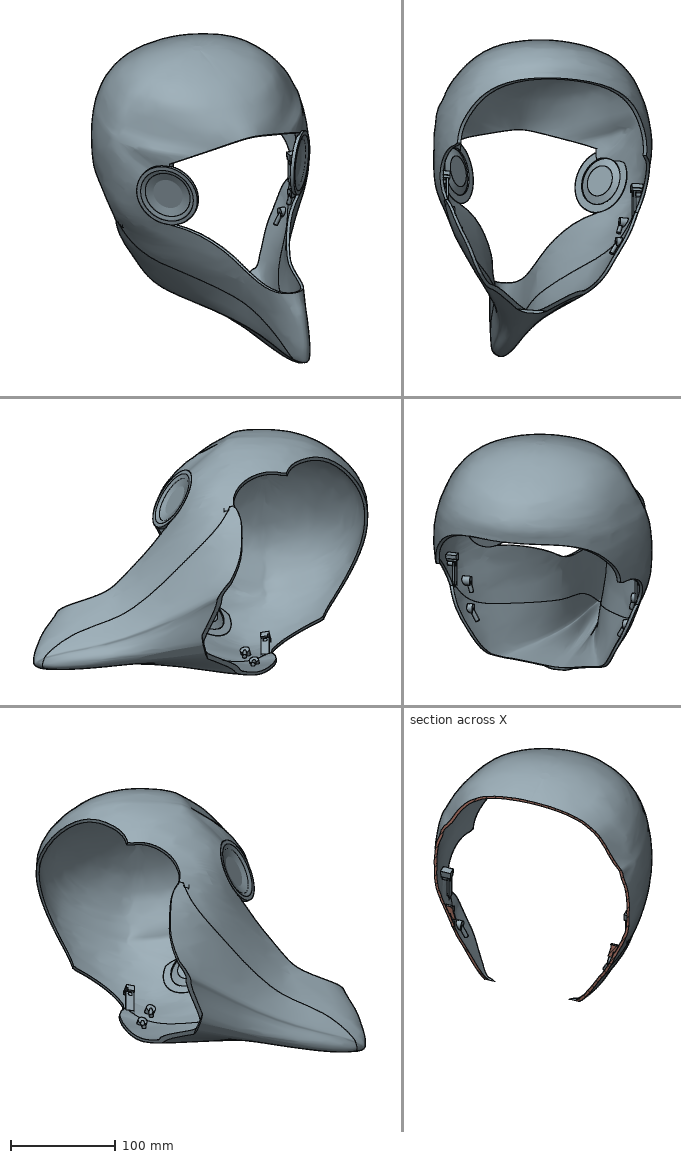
import cadquery as cq
import math


TOTAL_HEIGHT = 250.8
WALL = 3.0
SIDE_REACH = 150.0
FAR_FRONT = 400.0
FAR_BACK = -60.0
FAR_BELOW = -40.0
FRONT_POINTS = 5
REAR_ANGLES = (30, 60, 90)

EYE_X, EYE_Y, EYE_Z = 175.5, 72.9, 144.3
EYE_ANGLE = 41.8
SOCKET_DIAMETER = 62.0
SOCKET_THICKNESS = 3.5
SEAT_DIAMETER = 54.0
SEAT_DEPTH = 2.0
SIGHT_DIAMETER = 46.0
LENS_FLAT_DIAMETER = 30.0
LENS_THICKNESS = 1.5
DISH_DEPTH = 3.5
DISH_DIAMETER = 52.0
TRIM_REACH = 12.0

PIN_DIAMETER = 4.0
HINGE_X, HINGE_Z = 117.0, 112.5
HINGE_LENGTH = 8.0
LUG_INNER_Y, LUG_OUTER_Y = 90.6, 92.5
LUG_BOTTOM, LUG_TOP = 89.0, 115.5
PIN_OUTER_Y = 98.5
BRACKET_INNER_Y, BRACKET_OUTER_Y = 89.0, 99.5
BRACKET_BOTTOM, BRACKET_STEP, BRACKET_TOP = 116.0, 118.5, 122.5
LIP_SETBACK = 1.5
PAD_DIAMETER = 9.0
PAD_COVER = 2.0
HELMET_HOOK = (135.0, (83.0, 90.0), (80.0, 79.0), 89.0)
JAW_HOOK = (125.0, (77.5, 66.0), (71.0, 54.0), 81.0)



def rounded_front(widest_x, half_width, tip_x, fullness):
    """Front outline from the widest point to the tip: fullness 2 is an ellipse, less is more pointed."""
    points = []
    for step in range(1, FRONT_POINTS + 1):
        angle = math.radians(90 * step / (FRONT_POINTS + 1))
        along = math.sin(angle) ** (2 / fullness)
        across = math.cos(angle) ** (2 / fullness)
        points.append((widest_x + (tip_x - widest_x) * along, half_width * across))
    return points


LEVELS = [
    (0.0, -70, 135, 160, 5.0, [(172, 5), (185, 4.5), (198, 4), (209, 3), (217, 2)], 222),
    (6.5, -70, 102, 132, 24.0, [(158, 22), (192, 16), (230, 10), (262, 7.5), (290, 5)], 303),
    (14.0, -62, 86, 120, 45.0, [(150, 40), (188, 27), (232, 15), (271, 10.5), (306, 8)], 321),
    (23.0, -35, 70, 110, 61.0, [(145, 52), (188, 34), (233, 19), (274, 14), (310, 10)], 325.5),
    (45.0, -25, 60, 110, 73.0, [(148, 64), (192, 41), (235, 22), (274, 17), (308, 10.5)], 321),
    (67.0, -22, 50, 110, 85.0, [(152, 74), (197, 46), (238, 25.5), (270, 19), (300, 11.5)], 312),
    (83.0, -18, 30, 110, 91.0, [(154, 79), (200, 48), (239, 26.5), (268, 20), (293, 13)], 303.5),
    (104.0, -10, 15, 110, 98.5, [(155, 87), (200, 50), (236, 30), (262, 21), (284, 13)], 295),
    (125.0, -5, 5, 108, 103.0, [(155, 91), (197, 53), (225, 35), (245, 22), (258, 12)], 266),
    (155.0, 0, 0, 106, 104.7, [(154.6, 91.5), (185, 64), (205, 43), (220, 27), (229, 13)], 233),
    (180.0, 10, 0, 105, 102.0, 1.7, 214),
    (195.0, 20, 0.5, 105, 96.5, 1.55, 212),
    (207.0, 35, 6, 104, 91.0, 1.5, 206.5),
    (220.0, 45, 17, 102, 82.0, 1.7, 190),
    (233.0, 58, 37, 101, 69.0, 1.9, 171),
    (242.7, 70, 58, 100, 50.0, 2, 148),
    (248.3, 80, 76, 100, 30.0, 2, 125),
    (TOTAL_HEIGHT, 87, 95, 100, 5.0, 2, 105),
]


def half_outline(back_x, widest_x, half_width, front, tip_x):
    """Points of the +Y half of a level outline, from the back to the tip."""
    points = [(back_x, 0.0)]
    for degrees in REAR_ANGLES:
        angle = math.radians(degrees)
        x = widest_x - (widest_x - back_x) * math.cos(angle)
        points.append((x, half_width * math.sin(angle)))
    if not isinstance(front, list):
        front = rounded_front(widest_x, half_width, tip_x, front)
    return points + front + [(tip_x, 0.0)]


def full_outline(half):
    mirrored = [(x, -y) for x, y in reversed(half[1:-1])]
    return half + mirrored


def inset_outline(outline, distance):
    """Moves each point inwards, square to the line through its two neighbours."""
    moved = []
    count = len(outline)
    for index, (x, y) in enumerate(outline):
        before = outline[index - 1]
        after = outline[(index + 1) % count]
        along_x, along_y = after[0] - before[0], after[1] - before[1]
        length = math.hypot(along_x, along_y)
        moved.append((x + distance * along_y / length, y - distance * along_x / length))
    return moved


def head_volume(inset):
    """Closed head-and-beak volume, its skin moved inwards by the inset."""
    rings = []
    for height, tilt, back_x, widest_x, half_width, front, tip_x in LEVELS:
        lean = math.radians(tilt)
        outline = full_outline(half_outline(back_x, widest_x, half_width, front, tip_x))
        outline = inset_outline(outline, inset * math.cos(lean))
        level = height - inset * math.sin(lean)
        points = [cq.Vector(x, y, level) for x, y in outline]
        even_spacing = range(len(points) + 1)
        loop = cq.Edge.makeSpline(points, periodic=True, parameters=even_spacing)
        rings.append(cq.Wire.assembleEdges([loop]))
    volume = cq.occ_impl.shapes.loft(rings, cap=True, continuity="C1", compat=False)
    return cq.Workplane(volume)


def side_cutter(profile):
    """Extrudes a closed XZ profile across the whole width."""
    return profile.close().extrude(SIDE_REACH, both=True)


def face_opening():
    lower_rim = [(188, 111), (207, 103.8), (229, 92.7), (245, 83.5), (259, 79.8), (295, 79.8), (304, 81.7)]
    profile = (
        cq.Workplane("XZ")
        .moveTo(FAR_FRONT, 206)
        .lineTo(208.6, 205.6)
        .threePointArc((194, 192.5), (EYE_X, 178))
        .lineTo(EYE_X, 113.5)
        .spline(lower_rim, includeCurrent=True)
        .lineTo(FAR_FRONT, 81.7)
    )
    return side_cutter(profile)


def neck_opening():
    nape = [(27, 174.5), (44, 159), (53, 148), (60, 132.5)]
    neck = [(87, 127), (102, 116), (111, 100)]
    jaw_back = [(105.5, 78), (105.5, 66), (110, 41), (121.5, 23)]
    profile = (
        cq.Workplane("XZ")
        .moveTo(FAR_BACK, 190)
        .lineTo(0, 183.5)
        .spline(nape, includeCurrent=True)
        .lineTo(64, 131.5)
        .spline([(72, 131.5)] + neck, includeCurrent=True)
        .lineTo(111, 92.5)
        .spline(jaw_back, includeCurrent=True)
        .lineTo(158, 3)
        .lineTo(166, FAR_BELOW)
        .lineTo(FAR_BACK, FAR_BELOW)
    )
    return side_cutter(profile)


def below_seam():
    seam = [(131, 73), (178, 56), (238, 43.5), (286, 32.5), (305, 21.5), (320, 8)]
    profile = (
        cq.Workplane("XZ")
        .moveTo(FAR_BACK, 92.5)
        .lineTo(115, 92.5)
        .spline(seam, includeCurrent=True)
        .lineTo(320, FAR_BELOW)
        .lineTo(FAR_BACK, FAR_BELOW)
    )
    return side_cutter(profile)


def eye_cone(side, outer_diameter, inner_diameter, start, depth):
    """Cone or cylinder on the eye axis, beginning at a depth below the outer face and going inwards."""
    turn = math.radians(EYE_ANGLE)
    inward = cq.Vector(-math.sin(turn), -side * math.cos(turn), 0)
    origin = cq.Vector(EYE_X, side * EYE_Y, EYE_Z) + inward * start
    if outer_diameter == inner_diameter:
        return cq.Workplane(cq.Solid.makeCylinder(outer_diameter / 2, depth, origin, inward))
    return cq.Workplane(cq.Solid.makeCone(outer_diameter / 2, inner_diameter / 2, depth, origin, inward))


def add_socket(body, side):
    """Trims the skin flat around the eye and adds the stepped round socket."""
    trim = eye_cone(side, SOCKET_DIAMETER, SOCKET_DIAMETER, -TRIM_REACH, TRIM_REACH)
    ring = eye_cone(side, SOCKET_DIAMETER, SOCKET_DIAMETER, 0, SOCKET_THICKNESS)
    seat = eye_cone(side, SEAT_DIAMETER, SEAT_DIAMETER, 0, SEAT_DEPTH)
    sight = eye_cone(side, SIGHT_DIAMETER, SIGHT_DIAMETER, 0, TRIM_REACH)
    return body.cut(trim).union(ring).cut(seat).cut(sight)


def make_lens(side):
    """Dished lens: a rim in the seat and a cone down to a flat centre."""
    rim = eye_cone(side, SEAT_DIAMETER, SEAT_DIAMETER, 0, SEAT_DEPTH)
    bowl_depth = DISH_DEPTH + LENS_THICKNESS - SEAT_DEPTH
    bowl = eye_cone(side, SIGHT_DIAMETER, LENS_FLAT_DIAMETER, SEAT_DEPTH, bowl_depth)
    dish = eye_cone(side, DISH_DIAMETER, LENS_FLAT_DIAMETER, 0, DISH_DEPTH)
    return rim.union(bowl).cut(dish)


def block(side, x_start, x_end, inner_y, outer_y, bottom, top):
    """Box between X, Y and Z limits, on one side of the head."""
    box = cq.Workplane().box(x_end - x_start, outer_y - inner_y, top - bottom)
    return box.translate(((x_start + x_end) / 2, side * (inner_y + outer_y) / 2, (bottom + top) / 2))


def hinge_bracket(side):
    """Helmet block above the hinge pin, with a shorter lip below it."""
    back, front = HINGE_X - HINGE_LENGTH / 2, HINGE_X + HINGE_LENGTH / 2
    upper = block(side, back, front, BRACKET_INNER_Y, BRACKET_OUTER_Y, BRACKET_STEP, BRACKET_TOP)
    lip_back = back + LIP_SETBACK
    lip = block(side, lip_back, front, BRACKET_INNER_Y, BRACKET_OUTER_Y, BRACKET_BOTTOM, BRACKET_STEP)
    return upper.union(lip)


def jaw_lug(side):
    """Upright jaw plate that carries the hinge pin."""
    back, front = HINGE_X - HINGE_LENGTH / 2, HINGE_X + HINGE_LENGTH / 2
    return block(side, back, front, LUG_INNER_Y, LUG_OUTER_Y, LUG_BOTTOM, LUG_TOP)


def make_pin(side):
    start = cq.Vector(HINGE_X, side * LUG_INNER_Y, HINGE_Z)
    length = PIN_OUTER_Y - LUG_INNER_Y
    return cq.Workplane(cq.Solid.makeCylinder(PIN_DIAMETER / 2, length, start, cq.Vector(0, side, 0)))


def make_hook(side, hook):
    """Round pad on the inside of a wall with a peg running down from it for an elastic."""
    x, (pad_y, pad_z), (tip_y, tip_z), root_y = hook
    inner_y = pad_y - PAD_COVER
    pad_start = cq.Vector(x, side * inner_y, pad_z)
    pad = cq.Solid.makeCylinder(PAD_DIAMETER / 2, root_y - inner_y, pad_start, cq.Vector(0, side, 0))
    peg_start = cq.Vector(x, side * pad_y, pad_z)
    peg_run = cq.Vector(x, side * tip_y, tip_z) - peg_start
    peg = cq.Solid.makeCylinder(PIN_DIAMETER / 2, peg_run.Length, peg_start, peg_run)
    return cq.Workplane(pad).union(cq.Workplane(peg)).intersect(cavity)


cavity = head_volume(WALL)
skin = head_volume(0).cut(cavity).cut(neck_opening()).cut(face_opening())
helmet = skin.cut(below_seam())
jaw = skin.intersect(below_seam())

SIDES = (1, -1)
lenses = []
pins = []
for side in SIDES:
    pin = make_pin(side)
    lug = jaw_lug(side)
    helmet = add_socket(helmet, side).union(hinge_bracket(side)).cut(lug).cut(pin)
    jaw = jaw.union(lug).cut(pin)
    lenses.append(make_lens(side).val())
    pins.append(pin.val())

helmet_hooks = [make_hook(side, HELMET_HOOK).val() for side in SIDES]
jaw_hooks = [make_hook(side, JAW_HOOK).val() for side in SIDES]

result = cq.Compound.makeCompound([helmet.val(), jaw.val(), *lenses, *pins, *helmet_hooks, *jaw_hooks])